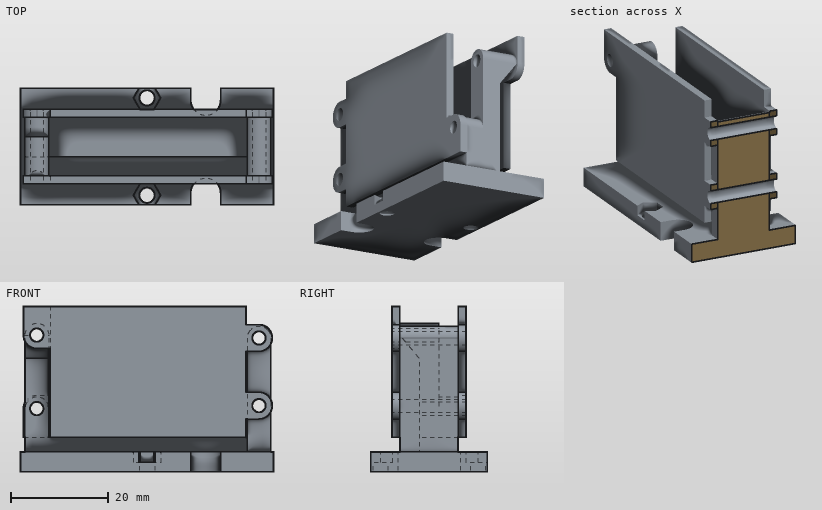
import cadquery as cq
import math

base_length = 52.0
base_width = 24.0
base_thickness = 4.1

frame_width = 12.0
web_half = 2.05
frame_floor = 7.1
column_radius = 2.45
screw_hole_diameter = 2.7

left_x = -22.65
right_x = 23.0
right_high_z = 27.5

plate_thickness = 1.65
plate_bottom = frame_floor
plate_top = 34.0
plate_right = 20.35
lug_radius = 2.75
plate_mid_z = (plate_bottom + plate_top) / 2
left_high_z = 28.1
left_low_z = 2 * plate_mid_z - left_high_z
right_low_z = 2 * plate_mid_z - right_high_z
boss_support_z = 23.35

nut_offset_y = 10.0
nut_corner_diameter = 5.6
nut_depth = 2.1
bolt_hole_diameter = 3.1

slot_x = 12.05
slot_width = 6.1
slot_center_y = 9.5

frame_half = frame_width / 2


def drill_y(x, z):
    """Screw hole along Y through the frame and both plates."""
    length = frame_width + 4 * plate_thickness
    axis_start = cq.Vector(x, -length / 2, z)
    return cq.Workplane(cq.Solid.makeCylinder(
        screw_hole_diameter / 2, length, axis_start, cq.Vector(0, 1, 0)))


def drill_all(body):
    """Cut all four screw holes."""
    for x, z in ((left_x, left_high_z), (left_x, left_low_z),
                 (right_x, right_high_z), (right_x, right_low_z)):
        body = body.cut(drill_y(x, z))
    return body


def column(x, axis_z, y_start, y_end):
    """Upright rising from the base with a half-round top centred on its screw."""
    return (
        cq.Workplane("XZ", origin=(0, y_start, 0))
        .moveTo(x - column_radius, 0)
        .lineTo(x - column_radius, axis_z)
        .threePointArc((x, axis_z + column_radius), (x + column_radius, axis_z))
        .lineTo(x + column_radius, 0)
        .close()
        .extrude(y_start - y_end)
    )


def front_left_boss():
    """Front part of the left column, overhanging on a sloped underside."""
    boss = column(left_x, left_high_z, -frame_half, -web_half)
    side = (
        cq.Workplane("YZ", origin=(left_x - column_radius, 0, 0))
        .moveTo(-web_half, boss_support_z)
        .lineTo(-frame_half, left_high_z)
        .lineTo(-frame_half, plate_top)
        .lineTo(-web_half, plate_top)
        .close()
        .extrude(2 * column_radius)
    )
    return boss.intersect(side)


def make_base():
    """Flat base with a nut pocket and an open bolt slot on each long side."""
    base = cq.Workplane("XY").box(
        base_length, base_width, base_thickness, centered=(True, True, False))
    for side in (-1, 1):
        nut_y = side * nut_offset_y
        base = base.cut(
            cq.Workplane("XY", origin=(0, nut_y, base_thickness - nut_depth))
            .polygon(6, nut_corner_diameter).extrude(nut_depth))
        base = base.cut(
            cq.Workplane("XY", origin=(0, nut_y, 0))
            .circle(bolt_hole_diameter / 2).extrude(base_thickness))
        slot_y = side * slot_center_y
        base = base.cut(
            cq.Workplane("XY", origin=(slot_x, slot_y, 0))
            .circle(slot_width / 2).extrude(base_thickness))
        base = base.cut(
            cq.Workplane("XY", origin=(slot_x, slot_y + side * base_width / 2, 0))
            .rect(slot_width, base_width).extrude(base_thickness))
    return base


def make_housing():
    """Base with the two-column frame standing on it."""
    frame = column(right_x, right_high_z, -frame_half, frame_half)
    frame = frame.union(column(left_x, left_high_z, -web_half, web_half))
    frame = frame.union(column(left_x, left_low_z, web_half, frame_half))
    frame = frame.union(front_left_boss())
    floor_bar = cq.Workplane("XY").box(
        right_x - left_x, frame_half + web_half, frame_floor, centered=False
    ).translate((left_x, -web_half, 0))
    frame = frame.union(floor_bar)
    return drill_all(make_base().union(frame))


def make_front_plate():
    """Cover plate with one lug at its upper left corner and two on the right."""
    diagonal = lug_radius * math.sqrt(0.5)
    outline = (
        cq.Workplane("XZ", origin=(0, -frame_half, 0))
        .moveTo(left_x + lug_radius, plate_bottom)
        .lineTo(plate_right, plate_bottom)
    )
    for z in (right_low_z, right_high_z):
        outline = (
            outline
            .lineTo(plate_right, z - lug_radius)
            .lineTo(right_x, z - lug_radius)
            .threePointArc((right_x + lug_radius, z), (right_x, z + lug_radius))
            .lineTo(plate_right, z + lug_radius)
        )
    outline = (
        outline
        .lineTo(plate_right, plate_top)
        .lineTo(left_x - lug_radius, plate_top)
        .lineTo(left_x - lug_radius, left_high_z)
        .threePointArc((left_x - diagonal, left_high_z - diagonal),
                       (left_x, left_high_z - lug_radius))
        .lineTo(left_x + lug_radius, left_high_z - lug_radius)
        .close()
    )
    return drill_all(outline.extrude(plate_thickness))


housing = make_housing()
front_plate = make_front_plate()
back_plate = front_plate.rotate((0, 0, plate_mid_z), (1, 0, plate_mid_z), 180)

result = cq.Compound.makeCompound([housing.val(), front_plate.val(), back_plate.val()])